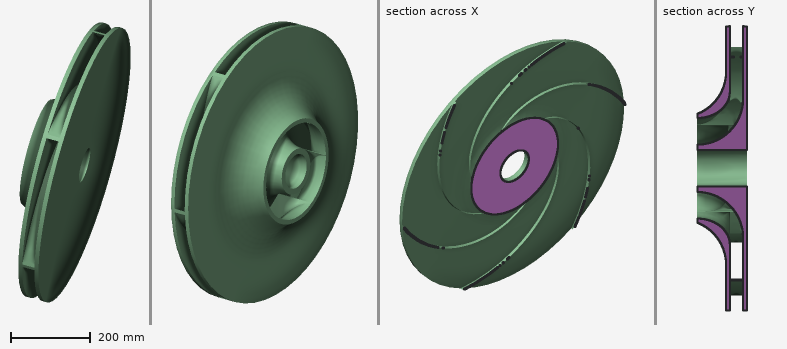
import cadquery as cq
import math


outer_radius = 358.0
total_depth = 125.0
rim_width = 54.0
plate_thickness = 11.0
bore_radius = 45.0
hub_radius = 60.0
eye_outer_radius = 137.5
eye_inner_radius = 126.0
throat_rise = 66.0
flare_radius = 242.0

vane_count = 6
vane_inlet_radius = 125.0
vane_wrap = 118.0
vane_tip_angle = 3.3
vane_tip_width = 1.6
vane_inlet_width = 0.8
spiral_points = 16

eye_face = -total_depth
shroud_face = -rim_width
shroud_inner_face = shroud_face + plate_thickness
back_inner_face = -plate_thickness

flare_depth = shroud_face - eye_face
flare_height = flare_radius - eye_outer_radius
flare_arc_radius = (flare_depth**2 + flare_height**2) / (2 * flare_depth)
flare_center_x = shroud_face - flare_arc_radius


def flare_points(depth):
    """Disc start, arc middle and eye end (X, radius) of the flare at a depth below the outer surface."""
    arc_radius = flare_arc_radius + depth
    end_angle = math.acos((eye_face - flare_center_x) / arc_radius)

    def arc_point(angle):
        x = flare_center_x + arc_radius * math.cos(angle)
        return (x, flare_radius - arc_radius * math.sin(angle))

    return arc_point(0), arc_point(end_angle / 2), arc_point(end_angle)


def revolve_about_x(profile):
    return profile.close().revolve(360, (0, 0, 0), (1, 0, 0))


def make_shroud():
    """Front disc flaring forward into the suction eye, with an elliptical throat leading inside."""
    outer_start, outer_middle, outer_end = flare_points(0)
    profile = (
        cq.Workplane("XY")
        .moveTo(shroud_face, outer_radius)
        .lineTo(*outer_start)
        .threePointArc(outer_middle, outer_end)
        .lineTo(eye_face, eye_inner_radius)
        .ellipseArc(shroud_inner_face - eye_face, throat_rise, 270, 360, sense=1, startAtCurrent=True)
        .lineTo(shroud_inner_face, outer_radius)
    )
    return revolve_about_x(profile)


def make_back_plate():
    """Back disc with a bored hub that sweeps into it along a quarter arc."""
    sweep_radius = back_inner_face - eye_face
    sweep_end_radius = hub_radius + sweep_radius
    sweep_offset = sweep_radius * math.sqrt(0.5)
    sweep_middle = (eye_face + sweep_offset, sweep_end_radius - sweep_offset)
    profile = (
        cq.Workplane("XY")
        .moveTo(0, bore_radius)
        .lineTo(eye_face, bore_radius)
        .lineTo(eye_face, hub_radius)
        .threePointArc(sweep_middle, (back_inner_face, sweep_end_radius))
        .lineTo(back_inner_face, outer_radius)
        .lineTo(0, outer_radius)
    )
    return revolve_about_x(profile)


def make_envelope():
    """Solid behind the middle of the shroud wall, which trims the vanes so they end inside that wall."""
    start, middle, end = flare_points(plate_thickness / 2)
    profile = (
        cq.Workplane("XY")
        .moveTo(0, hub_radius)
        .lineTo(0, outer_radius)
        .lineTo(start[0], outer_radius)
        .lineTo(*start)
        .threePointArc(middle, end)
        .lineTo(eye_face, hub_radius)
    )
    return revolve_about_x(profile)


def spiral_point(fraction, start_angle, wrap):
    """Point (Y, Z) on a logarithmic spiral from the rim (0) to the vane inlet (1)."""
    radius = outer_radius * (vane_inlet_radius / outer_radius) ** fraction
    angle = math.radians(start_angle + wrap * fraction)
    return (-radius * math.cos(angle), radius * math.sin(angle))


def make_vane(tip_angle):
    """Spiral blade between two logarithmic spirals, thinning towards the inlet."""
    vane_root = -plate_thickness / 2
    overrun = 0.02
    steps = [-overrun + (1 + overrun) * i / spiral_points for i in range(spiral_points + 1)]
    outer_face = [spiral_point(step, tip_angle, vane_wrap) for step in steps]
    inner_tip_angle = tip_angle - vane_tip_width
    inner_wrap = vane_wrap + vane_tip_width - vane_inlet_width
    inner_face = [spiral_point(step, inner_tip_angle, inner_wrap) for step in reversed(steps)]
    return (
        cq.Workplane("YZ", origin=(vane_root, 0, 0))
        .moveTo(*outer_face[0])
        .spline(outer_face[1:], includeCurrent=True)
        .lineTo(*inner_face[0])
        .spline(inner_face[1:], includeCurrent=True)
        .close()
        .extrude(eye_face - vane_root)
    )


envelope = make_envelope()
result = make_shroud().union(make_back_plate())
for index in range(vane_count):
    vane = make_vane(vane_tip_angle + index * 360 / vane_count)
    result = result.union(vane.intersect(envelope))